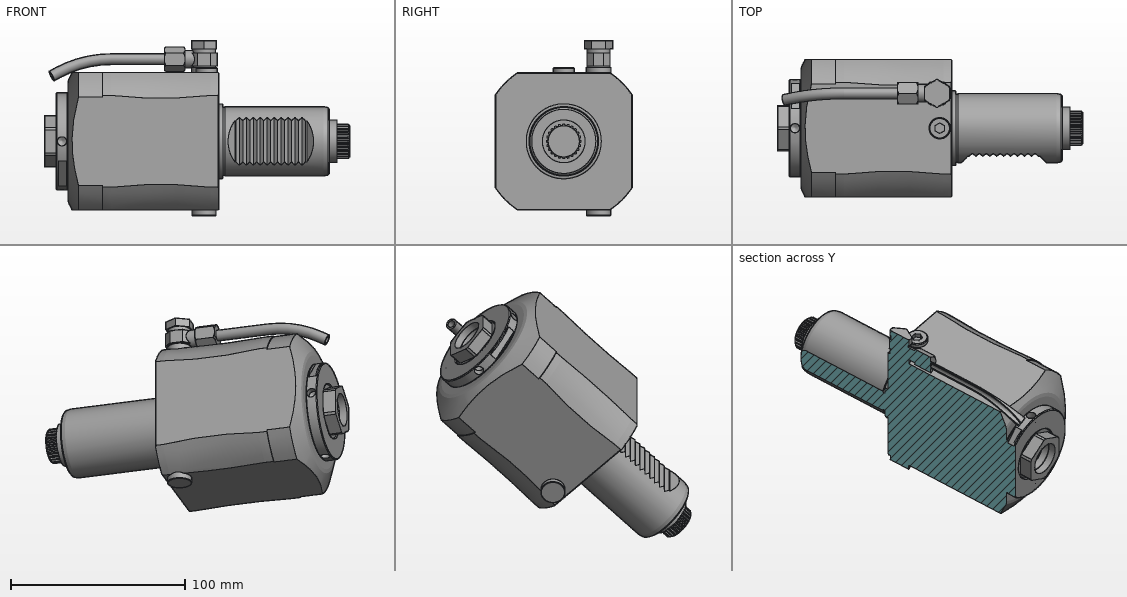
import cadquery as cq
import math

TOTAL_LENGTH = 175.0

BLOCK_WIDTH = 79.0
BLOCK_FRONT = 13.3
BLOCK_REAR = 100.0
BLOCK_REAR_CHAMFER = 0.5
FRONT_FACE_RADIUS = 32.9
CONE_START_X = 13.6
CONE_START_RADIUS = 35.2
CONE_END_X = 19.5
NOSE_RADIUS = 46.9
NOSE_END_X = 33.0
CORNER_RADIUS = 47.5
WAIST_START_X = 38.2
WAIST_END_X = 95.2
WAIST_RADIUS = 46.5
BLOCK_TOP = BLOCK_WIDTH / 2

RING_FRONT = 6.6
RING_RADIUS = 28.0
RING_CHAMFER = 0.5
SPANNER_HOLE_COUNT = 4
SPANNER_HOLE_X = 10.0
SPANNER_HOLE_RADIUS = 2.6
SPANNER_HOLE_DEPTH = 4.4
SPANNER_HOLE_TIP_DEPTH = 1.5
SPANNER_FLAT_DISTANCE = 26.0
SPANNER_FLAT_START_X = 8.0
SPANNER_FLAT_END_X = 12.5
SPANNER_FLAT_ANGLES = (-45, 135)

COLLAR_RADIUS = 21.5
COLLAR_END = 102.2
COLLAR_FILLET = 0.7
UNDERCUT_RADIUS = 19.6
UNDERCUT_END = 103.5
SHANK_RADIUS = 20.0
SHANK_TAPER_START = 160.0
SHANK_EDGE_X = 162.4
SHANK_EDGE_RADIUS = 19.5
SHANK_REAR = 163.3
SHANK_REAR_RADIUS = 18.4

TOOTH_COUNT = 10
TOOTH_TIP_DEPTH = 16.1
TOOTH_VALLEY_DEPTH = 14.5
FIRST_VALLEY_X = 111.6
LAST_VALLEY_X = 147.5
TOOTH_PITCH = (LAST_VALLEY_X - FIRST_VALLEY_X) / (TOOTH_COUNT - 1)
CLAMP_POCKET_START = 105.2
CLAMP_POCKET_END = 154.2

HEX_WIDTH = 26.2
HEX_CORNER_RADIUS = 14.7
SPINDLE_COLLAR_FRONT = 7.4
SPINDLE_COLLAR_RADIUS = 15.5
SPINDLE_SEAT_RADIUS = 16.1
SPINDLE_RADIUS = 12.2
SPINDLE_SHOULDER_END = 167.6
SOCKET_RADIUS = 9.5
SOCKET_STEP_DEPTH = 4.4
SOCKET_INNER_RADIUS = 9.1
SOCKET_DEPTH = 8.8
SPLINE_COUNT = 24
SPLINE_RADIUS = 10.0
SPLINE_ROOT_RADIUS = 9.1
SPLINE_CHAMFER = 1.0
SPLINE_TIP_FRACTION = 0.15
SPLINE_BASE_FRACTION = 0.35

UNION_X = 91.4
UNION_Y = 20.0
UNION_BASE_RADIUS = 7.2
UNION_BASE_TOP = 42.4
UNION_NECK_RADIUS = 6.6
UNION_BLOCK_BOTTOM = 43.0
UNION_BLOCK_TOP = 50.8
UNION_BLOCK_HALF_LENGTH = 7.7
UNION_BLOCK_HALF_WIDTH = 6.6
UNION_BLOCK_END_HALF_WIDTH = 2.8
UNION_BLOCK_SIDE_HALF_LENGTH = 3.8
UNION_HEX_WIDTH = 14.2
UNION_HEX_BOTTOM = 53.0
UNION_HEX_TOP = 57.8
PLUG_RADIUS = 7.0
PLUG_BOTTOM = -42.7
PLUG_CHAMFER = 0.4

PIPE_Z = 47.0
PIPE_RADIUS = 3.2
PIPE_BORE_RADIUS = 2.1
PIPE_NUT_WIDTH = 12.2
PIPE_NUT_START = 68.6
PIPE_NUT_END = 80.5
PIPE_NUT_CHAMFER = 0.9
PIPE_ARM_RADIUS = 5.0
PIPE_BEND_START_X = 38.2
PIPE_BEND_RADIUS = 60.5
PIPE_BEND_ANGLE = math.radians(30)
PIPE_ROLL_ANGLE = math.radians(20.7)
PIPE_TIP_LENGTH = 4.4

SCREW_X = 93.0
SCREW_RADIUS = 6.1
SCREW_TOP = 42.2
SCREW_CHAMFER = 0.5
SCREW_SOCKET_WIDTH = 5.2
SCREW_SOCKET_DEPTH = 2.6


def hex_diameter(width_across_flats):
    """Diameter over the corners of a hexagon."""
    return width_across_flats * 2 / math.sqrt(3)


def x_cylinder(radius, start, end):
    """Cylinder about the tool axis."""
    return cq.Workplane("YZ", origin=(start, 0, 0)).circle(radius).extrude(end - start)


def z_cylinder(x, y, radius, bottom, top):
    """Upright cylinder centred at (x, y)."""
    return cq.Workplane("XY", origin=(x, y, bottom)).circle(radius).extrude(top - bottom)


def make_block():
    """Square block trimmed by a turned outline: front cone, corner cylinders and waist."""
    turned = (
        cq.Workplane("XY")
        .moveTo(BLOCK_FRONT, 0)
        .lineTo(BLOCK_FRONT, FRONT_FACE_RADIUS)
        .lineTo(CONE_START_X, CONE_START_RADIUS)
        .lineTo(CONE_END_X, NOSE_RADIUS)
        .lineTo(NOSE_END_X, NOSE_RADIUS)
        .lineTo(NOSE_END_X, CORNER_RADIUS)
        .lineTo(WAIST_START_X, CORNER_RADIUS)
        .threePointArc(
            ((WAIST_START_X + WAIST_END_X) / 2, WAIST_RADIUS),
            (WAIST_END_X, CORNER_RADIUS),
        )
        .lineTo(BLOCK_REAR, CORNER_RADIUS)
        .lineTo(BLOCK_REAR, 0)
        .close()
        .revolve(360, (0, 0, 0), (1, 0, 0))
    )
    square = (
        cq.Workplane("YZ")
        .rect(BLOCK_WIDTH, BLOCK_WIDTH)
        .extrude(BLOCK_REAR)
        .faces(">X")
        .chamfer(BLOCK_REAR_CHAMFER)
    )
    return turned.intersect(square)


def make_ring():
    """Front ring with four conical-ended radial spanner holes and two opposite spanner flats."""
    ring = x_cylinder(RING_RADIUS, RING_FRONT, BLOCK_FRONT).edges().chamfer(RING_CHAMFER)
    hole_floor = RING_RADIUS - SPANNER_HOLE_DEPTH
    drill = (
        cq.Workplane("XZ")
        .moveTo(0, hole_floor - SPANNER_HOLE_TIP_DEPTH)
        .lineTo(SPANNER_HOLE_RADIUS, hole_floor)
        .lineTo(SPANNER_HOLE_RADIUS, RING_RADIUS)
        .lineTo(0, RING_RADIUS)
        .close()
        .revolve(360, (0, 0, 0), (0, 1, 0))
        .translate((SPANNER_HOLE_X, 0, 0))
    )
    for index in range(SPANNER_HOLE_COUNT):
        ring = ring.cut(drill.rotate((0, 0, 0), (1, 0, 0), index * 360 / SPANNER_HOLE_COUNT))
    flat_cutter = cq.Workplane("XY").box(
        SPANNER_FLAT_END_X - SPANNER_FLAT_START_X,
        2 * RING_RADIUS,
        RING_RADIUS,
        centered=(False, True, False),
    ).translate((SPANNER_FLAT_START_X, 0, SPANNER_FLAT_DISTANCE))
    for angle in SPANNER_FLAT_ANGLES:
        ring = ring.cut(flat_cutter.rotate((0, 0, 0), (1, 0, 0), angle))
    return ring


def make_shank():
    """Cylindrical shank with locating collar, undercut and lead-in taper."""
    return (
        cq.Workplane("XY")
        .moveTo(BLOCK_REAR, 0)
        .lineTo(BLOCK_REAR, COLLAR_RADIUS)
        .lineTo(COLLAR_END - COLLAR_FILLET, COLLAR_RADIUS)
        .radiusArc((COLLAR_END, COLLAR_RADIUS - COLLAR_FILLET), COLLAR_FILLET)
        .lineTo(COLLAR_END, UNDERCUT_RADIUS)
        .lineTo(UNDERCUT_END, UNDERCUT_RADIUS)
        .lineTo(UNDERCUT_END, SHANK_RADIUS)
        .lineTo(SHANK_TAPER_START, SHANK_RADIUS)
        .lineTo(SHANK_EDGE_X, SHANK_EDGE_RADIUS)
        .lineTo(SHANK_REAR, SHANK_REAR_RADIUS)
        .lineTo(SHANK_REAR, 0)
        .close()
        .revolve(360, (0, 0, 0), (1, 0, 0))
    )


def make_clamp_cutter():
    """Pocket on the -Y side with a toothed floor and sloping ends."""
    slope_run = SHANK_RADIUS - TOOTH_TIP_DEPTH
    points = [
        (CLAMP_POCKET_START, -SHANK_RADIUS),
        (CLAMP_POCKET_START + slope_run, -TOOTH_TIP_DEPTH),
        (FIRST_VALLEY_X - TOOTH_PITCH / 2, -TOOTH_TIP_DEPTH),
    ]
    for index in range(TOOTH_COUNT):
        valley_x = FIRST_VALLEY_X + index * TOOTH_PITCH
        points.append((valley_x, -TOOTH_VALLEY_DEPTH))
        points.append((valley_x + TOOTH_PITCH / 2, -TOOTH_TIP_DEPTH))
    points.append((CLAMP_POCKET_END - slope_run, -TOOTH_TIP_DEPTH))
    points.append((CLAMP_POCKET_END, -SHANK_RADIUS))
    return cq.Workplane("XY").polyline(points).close().extrude(SHANK_RADIUS, both=True)


def make_union():
    """Coolant union: round base, eight-sided block, neck and hexagon head."""
    base = z_cylinder(UNION_X, UNION_Y, UNION_BASE_RADIUS, 0, UNION_BASE_TOP)
    neck = z_cylinder(UNION_X, UNION_Y, UNION_NECK_RADIUS, 0, UNION_HEX_BOTTOM)
    block = (
        cq.Workplane("XY", origin=(UNION_X, UNION_Y, UNION_BLOCK_BOTTOM))
        .polyline([
            (UNION_BLOCK_HALF_LENGTH, -UNION_BLOCK_END_HALF_WIDTH),
            (UNION_BLOCK_HALF_LENGTH, UNION_BLOCK_END_HALF_WIDTH),
            (UNION_BLOCK_SIDE_HALF_LENGTH, UNION_BLOCK_HALF_WIDTH),
            (-UNION_BLOCK_SIDE_HALF_LENGTH, UNION_BLOCK_HALF_WIDTH),
            (-UNION_BLOCK_HALF_LENGTH, UNION_BLOCK_END_HALF_WIDTH),
            (-UNION_BLOCK_HALF_LENGTH, -UNION_BLOCK_END_HALF_WIDTH),
            (-UNION_BLOCK_SIDE_HALF_LENGTH, -UNION_BLOCK_HALF_WIDTH),
            (UNION_BLOCK_SIDE_HALF_LENGTH, -UNION_BLOCK_HALF_WIDTH),
        ])
        .close()
        .extrude(UNION_BLOCK_TOP - UNION_BLOCK_BOTTOM)
    )
    head = (
        cq.Workplane("XY", origin=(UNION_X, UNION_Y, UNION_HEX_BOTTOM))
        .transformed(rotate=(0, 0, 90))
        .polygon(6, hex_diameter(UNION_HEX_WIDTH))
        .extrude(UNION_HEX_TOP - UNION_HEX_BOTTOM)
    )
    return base.union(neck).union(block).union(head)


def make_plug():
    """Round plug under the block, in line with the coolant union."""
    return (
        z_cylinder(UNION_X, UNION_Y, PLUG_RADIUS, PLUG_BOTTOM, 0)
        .faces("<Z")
        .chamfer(PLUG_CHAMFER)
    )


def make_pipe_nut():
    """Hexagon nut on the pipe with turned corners, and the arm that joins it to the union."""
    nut_plane = cq.Workplane("YZ", origin=(PIPE_NUT_START, UNION_Y, PIPE_Z))
    nut_length = PIPE_NUT_END - PIPE_NUT_START
    corner_diameter = hex_diameter(PIPE_NUT_WIDTH)
    hexagon = nut_plane.transformed(rotate=(0, 0, 90)).polygon(6, corner_diameter).extrude(nut_length)
    turned = nut_plane.circle(corner_diameter / 2).extrude(nut_length).edges().chamfer(PIPE_NUT_CHAMFER)
    arm = nut_plane.circle(PIPE_ARM_RADIUS).extrude(UNION_X - PIPE_NUT_START)
    return hexagon.intersect(turned).union(arm)


def pipe_bend_point(angle):
    """Point on the pipe centre line after turning through the given angle."""
    drop = PIPE_BEND_RADIUS * (1 - math.cos(angle))
    return (
        PIPE_BEND_START_X - PIPE_BEND_RADIUS * math.sin(angle),
        UNION_Y - drop * math.sin(PIPE_ROLL_ANGLE),
        PIPE_Z - drop * math.cos(PIPE_ROLL_ANGLE),
    )


def make_pipe():
    """Hollow pipe: straight out of the nut, bent towards the tool, then a short straight tip."""
    start = (PIPE_NUT_START, UNION_Y, PIPE_Z)
    bend_start = pipe_bend_point(0)
    bend_end = pipe_bend_point(PIPE_BEND_ANGLE)
    tip_drop = PIPE_TIP_LENGTH * math.sin(PIPE_BEND_ANGLE)
    tip = (
        bend_end[0] - PIPE_TIP_LENGTH * math.cos(PIPE_BEND_ANGLE),
        bend_end[1] - tip_drop * math.sin(PIPE_ROLL_ANGLE),
        bend_end[2] - tip_drop * math.cos(PIPE_ROLL_ANGLE),
    )
    path = cq.Wire.assembleEdges([
        cq.Edge.makeLine(cq.Vector(*start), cq.Vector(*bend_start)),
        cq.Edge.makeThreePointArc(
            cq.Vector(*bend_start),
            cq.Vector(*pipe_bend_point(PIPE_BEND_ANGLE / 2)),
            cq.Vector(*bend_end),
        ),
        cq.Edge.makeLine(cq.Vector(*bend_end), cq.Vector(*tip)),
    ])
    section = cq.Workplane(cq.Plane(origin=start, xDir=(0, 1, 0), normal=(-1, 0, 0)))
    return section.circle(PIPE_RADIUS).circle(PIPE_BORE_RADIUS).sweep(cq.Workplane(path))


def make_screw():
    """Locking screw on top of the block with a hexagon socket."""
    return (
        z_cylinder(SCREW_X, 0, SCREW_RADIUS, BLOCK_TOP, SCREW_TOP)
        .faces(">Z")
        .chamfer(SCREW_CHAMFER)
        .faces(">Z")
        .workplane(origin=(SCREW_X, 0, SCREW_TOP))
        .transformed(rotate=(0, 0, 90))
        .polygon(6, hex_diameter(SCREW_SOCKET_WIDTH))
        .cutBlind(-SCREW_SOCKET_DEPTH)
    )


def make_housing():
    """Stationary body with its fittings, bored through for the spindle."""
    shank = make_shank().cut(make_clamp_cutter())
    housing = make_block().union(make_ring()).union(shank)
    for fitting in (make_union(), make_plug(), make_pipe_nut(), make_pipe(), make_screw()):
        housing = housing.union(fitting)
    seat = x_cylinder(SPINDLE_SEAT_RADIUS, RING_FRONT, BLOCK_FRONT)
    bore = x_cylinder(SPINDLE_RADIUS, BLOCK_FRONT, SHANK_REAR)
    return housing.cut(seat).cut(bore)


def make_spline():
    """Splined drive end with trapezoidal teeth and a chamfered end."""
    pitch_angle = 2 * math.pi / SPLINE_COUNT
    tooth_corners = (
        (-SPLINE_BASE_FRACTION, SPLINE_ROOT_RADIUS),
        (-SPLINE_TIP_FRACTION, SPLINE_RADIUS),
        (SPLINE_TIP_FRACTION, SPLINE_RADIUS),
        (SPLINE_BASE_FRACTION, SPLINE_ROOT_RADIUS),
    )
    points = []
    for index in range(SPLINE_COUNT):
        for pitch_fraction, radius in tooth_corners:
            angle = (index + pitch_fraction) * pitch_angle
            points.append((radius * math.cos(angle), radius * math.sin(angle)))
    length = TOTAL_LENGTH - SPINDLE_SHOULDER_END
    toothed = (
        cq.Workplane("YZ", origin=(SPINDLE_SHOULDER_END, 0, 0))
        .polyline(points)
        .close()
        .extrude(length)
    )
    envelope = (
        x_cylinder(SPLINE_RADIUS, SPINDLE_SHOULDER_END, TOTAL_LENGTH)
        .faces(">X")
        .chamfer(SPLINE_CHAMFER)
    )
    return toothed.intersect(envelope)


def make_spindle():
    """Rotating spindle: socketed hexagon, collar, plain shaft and splined drive end."""
    hexagon = (
        cq.Workplane("YZ")
        .transformed(rotate=(0, 0, 90))
        .polygon(6, hex_diameter(HEX_WIDTH))
        .extrude(SPINDLE_COLLAR_FRONT)
        .intersect(x_cylinder(HEX_CORNER_RADIUS, 0, SPINDLE_COLLAR_FRONT))
    )
    spindle = (
        hexagon
        .union(x_cylinder(SPINDLE_COLLAR_RADIUS, SPINDLE_COLLAR_FRONT, BLOCK_FRONT))
        .union(x_cylinder(SPINDLE_RADIUS, BLOCK_FRONT, SPINDLE_SHOULDER_END))
        .union(make_spline())
    )
    outer_socket = x_cylinder(SOCKET_RADIUS, 0, SOCKET_STEP_DEPTH)
    inner_socket = x_cylinder(SOCKET_INNER_RADIUS, 0, SOCKET_DEPTH)
    return spindle.cut(outer_socket).cut(inner_socket)


housing = make_housing()
spindle = make_spindle()

result = cq.Compound.makeCompound([housing.solids().val(), spindle.solids().val()])